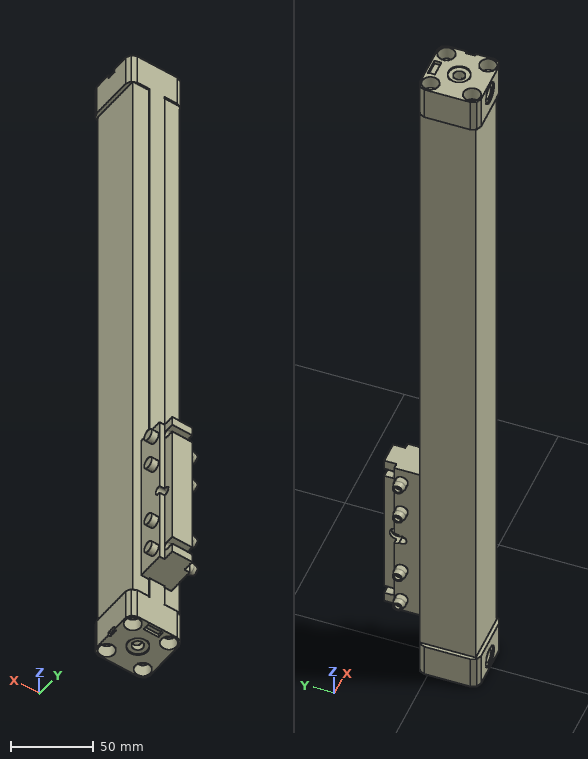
import cadquery as cq

length = 500.0
cap_size = 40.0
cap_length = 23.5
cap_corner_size = 5.0
cap_corner_inset = 1.5
tube_width = 35.0
tube_shoulder = 19.0
rail_width = 11.0
rail_top = cap_size / 2

port_seat_diameter = 14.0
side_bore_diameter = 8.5
end_bore_diameter = 7.5
end_bore_depth = 15.0
port_seat_depth = 1.0
side_port_inset = 9.0

bolt_offset = 13.5
bolt_recess_diameter = 11.0
bolt_recess_depth = 10.0
bolt_head_diameter = 7.5
bolt_head_height = 2.5
bolt_socket_diameter = 4.15
bolt_socket_depth = 1.5

band_slot_width = 11.0
band_slot_height = 4.5
band_slot_y = 16.0
band_slot_depth = 2.5
side_notch_width = 6.0
side_notch_depth = 1.5
side_notch_length = 2.5

carriage_length = 120.0
carriage_z = 100.0
carriage_width = 22.5
carriage_top = 46.0
fin_width = 15.0
fin_height = 8.0
fin_base = carriage_top - fin_height
slot_width = 6.0
slot_offsets = (-50.0, 50.0)
center_hole_width = 6.0
center_hole_length = 8.0
center_recess_diameter = 8.5
center_recess_depth = 2.5
pin_hole_diameter = 6.0
pin_hole_depth = 5.0

screw_y = 33.0
screw_offsets = (-50.0, -25.0, 25.0, 50.0)
screw_diameter = 8.0
screw_tail_length = 5.0
screw_head_length = 7.5
screw_taper_length = 3.5
screw_tip_diameter = 6.0
screw_socket_diameter = 4.0
screw_socket_depth = 2.5


def cylinder(diameter, height, start, direction):
    """Solid cylinder from a start point along a direction."""
    solid = cq.Solid.makeCylinder(diameter / 2, height, cq.Vector(*start), cq.Vector(*direction))
    return cq.Workplane(solid)


def make_tie_bolt_recess(x, y):
    """Ring-shaped recess that leaves a bolt head with a round socket."""
    recess_floor = cap_length - bolt_recess_depth
    head_top = recess_floor + bolt_head_height
    recess = cylinder(bolt_recess_diameter, bolt_recess_depth, (x, y, recess_floor), (0, 0, 1))
    head = cylinder(bolt_head_diameter, bolt_head_height, (x, y, recess_floor), (0, 0, 1))
    socket_start = (x, y, head_top - bolt_socket_depth)
    socket = cylinder(bolt_socket_diameter, bolt_socket_depth, socket_start, (0, 0, 1))
    return recess.cut(head).union(socket)


def make_cap_blank():
    """Square block whose four upright corners are each broken by two flats."""
    half = cap_size / 2
    straight = half - cap_corner_size
    knee = half - cap_corner_inset
    outline = []
    for x_sign, y_sign in ((1, 1), (-1, 1), (-1, -1), (1, -1)):
        corner = [
            (x_sign * half, y_sign * straight),
            (x_sign * knee, y_sign * knee),
            (x_sign * straight, y_sign * half),
        ]
        outline += corner if x_sign == y_sign else corner[::-1]
    return cq.Workplane("XY").polyline(outline).close().extrude(cap_length)


def cut_ports(cap):
    """Seated ports in the end face and the -Y face, whose bores meet inside the cap."""
    side_z = cap_length - side_port_inset
    side_y = -cap_size / 2
    up = (0, 0, 1)
    inward = (0, 1, 0)
    cap = cap.cut(cylinder(port_seat_diameter, port_seat_depth, (0, 0, cap_length - port_seat_depth), up))
    cap = cap.cut(cylinder(end_bore_diameter, end_bore_depth, (0, 0, cap_length - end_bore_depth), up))
    cap = cap.cut(cylinder(port_seat_diameter, port_seat_depth, (0, side_y, side_z), inward))
    return cap.cut(cylinder(side_bore_diameter, cap_size / 2, (0, side_y, side_z), inward))


def make_cap():
    """End cap with its inner face at Z = 0 and its end face at Z = cap_length."""
    cap = cut_ports(make_cap_blank())

    for x in (-bolt_offset, bolt_offset):
        for y in (-bolt_offset, bolt_offset):
            cap = cap.cut(make_tie_bolt_recess(x, y))

    band_slot = cq.Workplane("XY").box(band_slot_width, band_slot_height, band_slot_depth)
    cap = cap.cut(band_slot.translate((0, band_slot_y, cap_length - band_slot_depth / 2)))

    notch = cq.Workplane("XY").box(side_notch_depth, side_notch_width, side_notch_length)
    notch_x = (cap_size - side_notch_depth) / 2
    return cap.cut(notch.translate((notch_x, 0, cap_length - side_notch_length / 2)))


def make_cylinder_body():
    """Tube with its rail and both end caps."""
    tube_length = length - 2 * cap_length
    tube_depth = tube_shoulder + tube_width / 2
    tube_center_y = tube_shoulder - tube_depth / 2
    tube = cq.Workplane("XY").box(tube_width, tube_depth, tube_length).translate((0, tube_center_y, 0))
    rail = cq.Workplane("XY").box(rail_width, rail_top, tube_length).translate((0, rail_top / 2, 0))
    top_cap = make_cap().translate((0, 0, tube_length / 2))
    bottom_cap = top_cap.mirror("XY")
    return tube.union(rail).union(top_cap).union(bottom_cap).translate((0, 0, length / 2))


def make_screw(z):
    """Screw through the carriage: plain tail on the +X side, tapered socket head on the -X side."""
    tip_x = -carriage_width / 2 - screw_head_length
    taper_end_x = tip_x + screw_taper_length
    tail_x = carriage_width / 2 + screw_tail_length
    half_section = [
        (tip_x, 0),
        (tip_x, screw_tip_diameter / 2),
        (taper_end_x, screw_diameter / 2),
        (tail_x, screw_diameter / 2),
        (tail_x, 0),
    ]
    screw = cq.Workplane("XY").polyline(half_section).close().revolve(360, (0, 0, 0), (1, 0, 0))
    screw = screw.translate((0, screw_y, z))
    return screw.cut(cylinder(screw_socket_diameter, screw_socket_depth, (tip_x, screw_y, z), (1, 0, 0)))


def make_carriage():
    """T-shaped carriage with a groove over the rail, fin slots, holes and four screws."""
    half_width = carriage_width / 2
    bottom = tube_shoulder
    profile = [
        (-half_width, bottom),
        (-rail_width / 2, bottom),
        (-rail_width / 2, rail_top),
        (rail_width / 2, rail_top),
        (rail_width / 2, bottom),
        (half_width, bottom),
        (half_width, fin_base),
        (fin_width / 2, fin_base),
        (fin_width / 2, carriage_top),
        (-fin_width / 2, carriage_top),
        (-fin_width / 2, fin_base),
        (-half_width, fin_base),
    ]
    carriage = cq.Workplane("XY").polyline(profile).close().extrude(carriage_length)
    carriage = carriage.translate((0, 0, carriage_z - carriage_length / 2))

    slot_round_y = fin_base + slot_width / 2
    slot_height = carriage_top - slot_round_y
    for offset in slot_offsets:
        slot_z = carriage_z + offset
        slot = cq.Workplane("XY").box(fin_width, slot_height, slot_width)
        slot = slot.translate((0, slot_round_y + slot_height / 2, slot_z))
        slot_end = cylinder(slot_width, fin_width, (-fin_width / 2, slot_round_y, slot_z), (1, 0, 0))
        carriage = carriage.cut(slot).cut(slot_end)

    left = -half_width
    hole = cq.Workplane("YZ").center(fin_base, carriage_z).slot2D(center_hole_length, center_hole_width)
    carriage = carriage.cut(hole.extrude(half_width, both=True))
    recess_length = half_width - fin_width / 2 + center_recess_depth
    recess = cylinder(center_recess_diameter, recess_length, (left, fin_base, carriage_z), (1, 0, 0))
    carriage = carriage.cut(recess)

    carriage = carriage.cut(cylinder(pin_hole_diameter, pin_hole_depth, (left, screw_y, carriage_z), (1, 0, 0)))

    for offset in screw_offsets:
        carriage = carriage.union(make_screw(carriage_z + offset))
    return carriage


cylinder_body = make_cylinder_body()
carriage = make_carriage()
result = cq.Compound.makeCompound([cylinder_body.val(), carriage.val()])